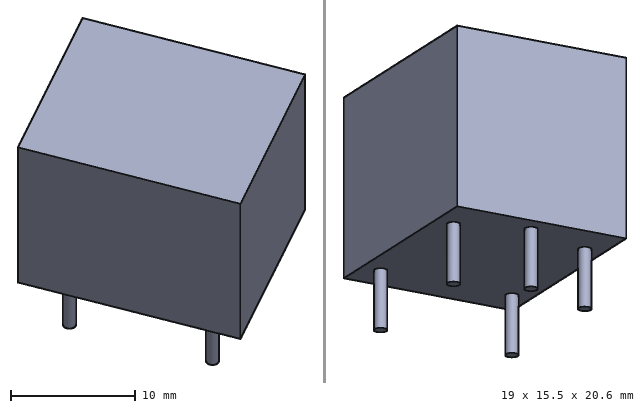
import cadquery as cq

housing_length = 19.0
housing_width = 15.5
total_height = 20.6
pin_length = 5.1
housing_height = total_height - pin_length

pin_diameter = 1.1
pin_row_half_spacing = 6.02
common_pin_inset = 1.8
coil_pin_offset = 2.0
contact_pin_offset = 14.2

common_pin_x = common_pin_inset - housing_length / 2
coil_pin_x = common_pin_x + coil_pin_offset
contact_pin_x = common_pin_x + contact_pin_offset

pin_positions = [(common_pin_x, 0)]
for row_y in (-pin_row_half_spacing, pin_row_half_spacing):
    pin_positions.append((coil_pin_x, row_y))
    pin_positions.append((contact_pin_x, row_y))


def make_housing():
    """Solid block centred in X and Y."""
    return cq.Workplane("XY").box(
        housing_length, housing_width, housing_height, centered=(True, True, False)
    )


def make_pin(x, y):
    """Round pin running down from the underside of the housing."""
    return cq.Workplane("XY").center(x, y).circle(pin_diameter / 2).extrude(-pin_length)


housing = make_housing()
pins = [make_pin(x, y).val() for x, y in pin_positions]

result = cq.Compound.makeCompound([housing.val(), *pins])